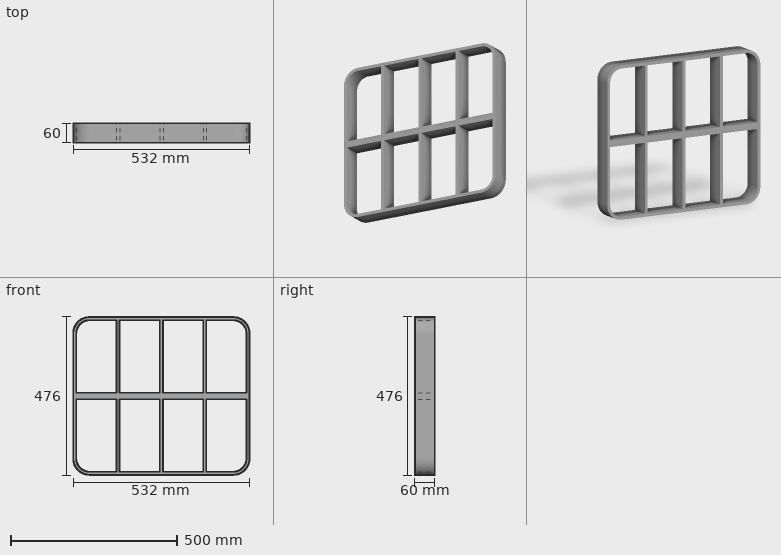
import cadquery as cq

width = 532.0
depth = 60.0
height = 476.0

wall = 10.0
corner_radius = 50.0
upright_thickness = 10.0
crossbar_thickness = 20.0
column_count = 4

inner_width = width - 2 * wall
inner_height = height - 2 * wall
inner_radius = corner_radius - wall
column_width = (inner_width - (column_count - 1) * upright_thickness) / column_count
column_pitch = column_width + upright_thickness


def rounded_block(block_width, block_height, radius):
    """Block centred on the origin, with its four corners along Y rounded."""
    return cq.Workplane("XY").box(block_width, depth, block_height).edges("|Y").fillet(radius)


def make_rim():
    """Rounded rectangular band of constant wall thickness."""
    outer = rounded_block(width, height, corner_radius)
    opening = rounded_block(inner_width, inner_height, inner_radius)
    return outer.cut(opening)


def make_crossbar():
    """Horizontal rib at mid height, reaching into both side walls."""
    return cq.Workplane("XY").box(inner_width + wall, depth, crossbar_thickness)


def make_upright(x):
    """Vertical rib centred at x, reaching into the top and bottom walls."""
    upright = cq.Workplane("XY").box(upright_thickness, depth, inner_height + wall)
    return upright.translate((x, 0, 0))


frame = make_rim().union(make_crossbar())
for gap in range(1, column_count):
    upright_x = (gap - column_count / 2) * column_pitch
    frame = frame.union(make_upright(upright_x))

result = frame.clean()